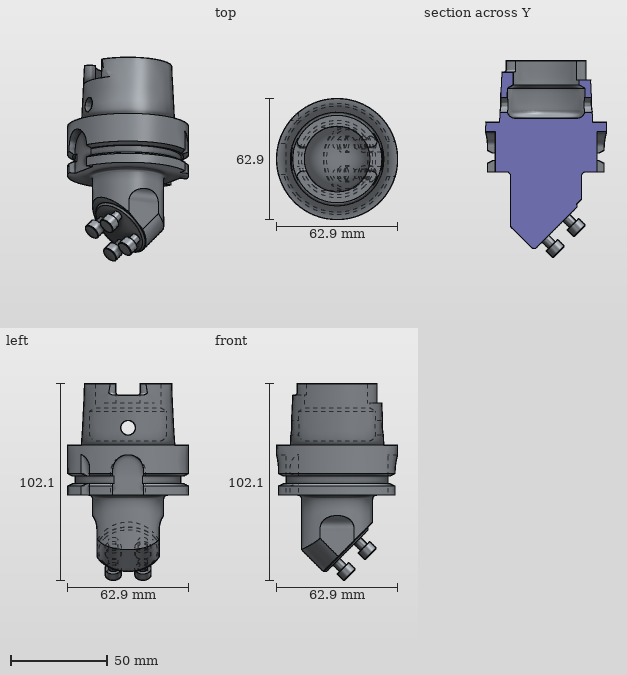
import cadquery as cq
import math


DIAGONAL = math.sqrt(0.5)

TAPER_LENGTH = 31.9
TAPER_BASE_D = 48.6
TAPER_TIP_D = 45.4
CROSS_HOLE_D = 7.5
CROSS_HOLE_Z = 9.0

BORE_D = 34.05
BORE_END_Z = 19.3
UNDERCUT_D = 40.08
UNDERCUT_LEAD_ANGLE = 60.0
BORE_FLOOR_D = 32.0
BORE_FLOOR_Z = 2.1

DRIVE_SLOT_WIDTH = 12.54
DRIVE_SLOT_CORNER_R = 3.0
DRIVE_SLOT_MOUTH_R = 23.0
DRIVE_SLOT_EXIT_LENGTH = 4.0
DEEP_SLOT_DEPTH = 10.0
SHALLOW_SLOT_DEPTH = 6.0
SHALLOW_SLOT_FLOOR_R = 1.5

FLANGE_D = 62.94
FLANGE_HEIGHT = 26.0
GROOVE_D = 55.0
GROOVE_CENTER_Z = -18.0
GROOVE_FLOOR_WIDTH = 3.75
GROOVE_FLARE_D = 57.6
GROOVE_FLARE_HEIGHT = 1.4

KEYWAY_FLOOR_X = 26.5
KEYWAY_TOP_Z = -5.0
NARROW_KEYWAY_WIDTH = 16.0
WIDE_KEYWAY_WIDTH = 18.0
NOTCH_CORNER = 19.9
NOTCH_TOP_Z = -4.0
NOTCH_WIDTH = 16.0

SHANK_D = 37.0
SHANK_FILLET_R = 2.0
SHANK_STOCK_LENGTH = 50.0
FLAT_Y = 16.25
FLAT_TOP_Z = -43.5
FLAT_RUNOUT_R = 12.0

NOSE_TILT = 45.0
NOSE_D = 35.0
NOSE_AXIS_Z = -48.0
NOSE_FACE_DISTANCE = 41.3
SEAT_D = 32.5
SEAT_AXIS_Z = -49.5
SEAT_HEIGHT = 1.2
SEAT_CHAMFER = 1.0

SCREW_D = 5.0
SCREW_AXIS_Z = -49.95
SCREW_SPACING = 15.4
SCREW_GAP = 4.85
SCREW_EMBED = 2.0
SCREW_HEAD_D = 8.5
SCREW_HEAD_LENGTH = 5.0
SCREW_HEAD_CHAMFER = 0.3


def disc(diameter, top_z, bottom_z):
    """Upright cylinder on the Z axis between two heights."""
    return cq.Workplane("XY").workplane(offset=bottom_z).circle(diameter / 2).extrude(top_z - bottom_z)


def revolved(outline):
    """Turn a closed (radius, z) outline about the Z axis."""
    return outline.revolve(360, (0, 0), (0, 1))


def tilted(solid, axis_z):
    """Lean a solid modelled along Z so that its axis crosses the part's Z axis at axis_z."""
    axis_offset = axis_z * math.sin(math.radians(NOSE_TILT))
    return solid.translate((axis_offset, 0, 0)).rotate((0, 0, 0), (0, 1, 0), -NOSE_TILT)


def make_taper_and_flange():
    flange_r = FLANGE_D / 2
    flare_r = GROOVE_FLARE_D / 2
    groove_r = GROOVE_D / 2
    groove_top = GROOVE_CENTER_Z + GROOVE_FLOOR_WIDTH / 2
    groove_bottom = GROOVE_CENTER_Z - GROOVE_FLOOR_WIDTH / 2
    outline = cq.Workplane("XZ").polyline([
        (0, TAPER_LENGTH),
        (TAPER_TIP_D / 2, TAPER_LENGTH),
        (TAPER_BASE_D / 2, 0),
        (flange_r, 0),
        (flange_r, groove_top + GROOVE_FLARE_HEIGHT),
        (flare_r, groove_top),
        (groove_r, groove_top),
        (groove_r, groove_bottom),
        (flare_r, groove_bottom),
        (flange_r, groove_bottom - GROOVE_FLARE_HEIGHT),
        (flange_r, -FLANGE_HEIGHT),
        (0, -FLANGE_HEIGHT),
    ]).close()
    return revolved(outline)


def make_bore():
    bore_r = BORE_D / 2
    undercut_r = UNDERCUT_D / 2
    floor_r = BORE_FLOOR_D / 2
    lead_height = (undercut_r - bore_r) / math.tan(math.radians(UNDERCUT_LEAD_ANGLE))
    round_r = undercut_r - floor_r
    round_mid = (floor_r + round_r * DIAGONAL, BORE_FLOOR_Z + round_r * (1 - DIAGONAL))
    outline = (
        cq.Workplane("XZ")
        .moveTo(0, TAPER_LENGTH)
        .lineTo(bore_r, TAPER_LENGTH)
        .lineTo(bore_r, BORE_END_Z)
        .lineTo(undercut_r, BORE_END_Z - lead_height)
        .lineTo(undercut_r, BORE_FLOOR_Z + round_r)
        .threePointArc(round_mid, (floor_r, BORE_FLOOR_Z))
        .lineTo(0, BORE_FLOOR_Z)
        .close()
    )
    return revolved(outline)


def make_cross_hole():
    """Radial hole through both taper walls along X."""
    hole = cq.Workplane("YZ").center(0, CROSS_HOLE_Z).circle(CROSS_HOLE_D / 2)
    return hole.extrude(TAPER_BASE_D, both=True)


def make_drive_slot(depth):
    """Slot from the taper tip through the +X wall; each mouth corner arc ends in a tangent line."""
    half_width = DRIVE_SLOT_WIDTH / 2
    corner_y = half_width + DRIVE_SLOT_CORNER_R
    corner_distance = DRIVE_SLOT_MOUTH_R - DRIVE_SLOT_CORNER_R
    corner_x = math.sqrt(corner_distance**2 - corner_y**2)
    direction_x = corner_x / corner_distance
    direction_y = corner_y / corner_distance

    arc_mid_x = corner_x + DRIVE_SLOT_CORNER_R * DIAGONAL
    arc_mid_y = corner_y - DRIVE_SLOT_CORNER_R * DIAGONAL
    tangent_x = DRIVE_SLOT_MOUTH_R * direction_x
    tangent_y = DRIVE_SLOT_MOUTH_R * direction_y
    exit_x = tangent_x - DRIVE_SLOT_EXIT_LENGTH * direction_y
    exit_y = tangent_y + DRIVE_SLOT_EXIT_LENGTH * direction_x
    outer_x = exit_x + TAPER_TIP_D / 2

    return (
        cq.Workplane("XY")
        .workplane(offset=TAPER_LENGTH - depth)
        .moveTo(0, -half_width)
        .lineTo(corner_x, -half_width)
        .threePointArc((arc_mid_x, -arc_mid_y), (tangent_x, -tangent_y))
        .lineTo(exit_x, -exit_y)
        .lineTo(outer_x, -exit_y)
        .lineTo(outer_x, exit_y)
        .lineTo(exit_x, exit_y)
        .lineTo(tangent_x, tangent_y)
        .threePointArc((arc_mid_x, arc_mid_y), (corner_x, half_width))
        .lineTo(0, half_width)
        .close()
        .extrude(depth)
    )


def make_shallow_drive_slot():
    """Drive slot on the -X side, with its floor rounded into its walls."""
    slot = make_drive_slot(SHALLOW_SLOT_DEPTH)
    slot = slot.faces("<Z").edges("not(<X or >X)").fillet(SHALLOW_SLOT_FLOOR_R)
    return slot.rotate((0, 0, 0), (0, 0, 1), 180)


def make_keyway(side, width, floor_x, top_z, center_y=0):
    """Round-topped keyway open at the flange underside, on the -X (side = -1) or +X (side = 1) rim."""
    radius = width / 2
    arc_z = top_z - radius
    return (
        cq.Workplane("YZ")
        .workplane(offset=side * floor_x)
        .moveTo(center_y - radius, -FLANGE_HEIGHT)
        .lineTo(center_y - radius, arc_z)
        .threePointArc((center_y, top_z), (center_y + radius, arc_z))
        .lineTo(center_y + radius, -FLANGE_HEIGHT)
        .close()
        .extrude(side * FLANGE_D)
    )


def make_notch():
    """Square-cornered indexing notch on the -X +Y rim."""
    return make_keyway(-1, NOTCH_WIDTH, NOTCH_CORNER, NOTCH_TOP_Z, NOTCH_CORNER + NOTCH_WIDTH / 2)


def make_nose_envelope():
    """U-shaped prism that rounds the lower -X side of the shank and ends at the angled face."""
    radius = NOSE_D / 2
    prism = (
        cq.Workplane("XY")
        .workplane(offset=-NOSE_FACE_DISTANCE)
        .moveTo(FLANGE_D, -radius)
        .lineTo(0, -radius)
        .threePointArc((-radius, 0), (0, radius))
        .lineTo(FLANGE_D, radius)
        .close()
        .extrude(2 * NOSE_FACE_DISTANCE)
    )
    upper = disc(SHANK_D, -FLANGE_HEIGHT, FLAT_TOP_Z)
    angled_face = tilted(
        cq.Workplane("XY")
        .workplane(offset=-NOSE_FACE_DISTANCE)
        .rect(4 * FLANGE_D, 2 * FLANGE_D)
        .extrude(2 * NOSE_FACE_DISTANCE),
        0,
    )
    return tilted(prism, NOSE_AXIS_Z).union(upper.intersect(angled_face))


def make_seat():
    """Chamfered disc standing on the angled face."""
    seat = disc(SEAT_D, -NOSE_FACE_DISTANCE, -NOSE_FACE_DISTANCE - SEAT_HEIGHT)
    return tilted(seat.faces("<Z").edges().chamfer(SEAT_CHAMFER), SEAT_AXIS_Z)


def make_flat_cutter():
    """Material beside the shank on +Y, rounded where the flat runs out at its top."""
    width = 2 * SHANK_D
    block = (
        cq.Workplane("XY")
        .box(width, FLAT_RUNOUT_R, SHANK_STOCK_LENGTH, centered=(True, False, False))
        .translate((0, FLAT_Y, FLAT_TOP_Z - SHANK_STOCK_LENGTH))
    )
    runout = (
        cq.Workplane("YZ")
        .center(FLAT_Y + FLAT_RUNOUT_R, FLAT_TOP_Z)
        .circle(FLAT_RUNOUT_R)
        .extrude(width / 2, both=True)
    )
    return block.union(runout)


def make_shank_fillet():
    """Concave round between the shank and the flange underside."""
    shank_r = SHANK_D / 2
    fillet_bottom = -FLANGE_HEIGHT - SHANK_FILLET_R
    fillet_inset = SHANK_FILLET_R * (1 - DIAGONAL)
    outline = (
        cq.Workplane("XZ")
        .moveTo(0, -FLANGE_HEIGHT)
        .lineTo(shank_r + SHANK_FILLET_R, -FLANGE_HEIGHT)
        .threePointArc((shank_r + fillet_inset, -FLANGE_HEIGHT - fillet_inset), (shank_r, fillet_bottom))
        .lineTo(0, fillet_bottom)
        .close()
    )
    return revolved(outline)


def make_shank():
    shank = disc(SHANK_D, -FLANGE_HEIGHT, -FLANGE_HEIGHT - SHANK_STOCK_LENGTH)
    shank = shank.intersect(make_nose_envelope()).union(make_seat())
    flat_cutter = make_flat_cutter()
    shank = shank.cut(flat_cutter).cut(flat_cutter.mirror("XZ"))
    return shank.union(make_shank_fillet())


def make_screw():
    """Screw along -Z, its shank rooted in the seat."""
    seat_z = -NOSE_FACE_DISTANCE - SEAT_HEIGHT
    head_z = seat_z - SCREW_GAP
    head = disc(SCREW_HEAD_D, head_z, head_z - SCREW_HEAD_LENGTH)
    head = head.faces("<Z").edges().chamfer(SCREW_HEAD_CHAMFER)
    return disc(SCREW_D, seat_z + SCREW_EMBED, head_z).union(head)


def add_screws(part):
    screw = make_screw()
    half_spacing = SCREW_SPACING / 2
    for x in (-half_spacing, half_spacing):
        for y in (-half_spacing, half_spacing):
            part = part.union(tilted(screw.translate((x, y, 0)), SCREW_AXIS_Z))
    return part


result = make_taper_and_flange().cut(make_bore()).cut(make_cross_hole())
result = result.cut(make_drive_slot(DEEP_SLOT_DEPTH)).cut(make_shallow_drive_slot())
result = result.cut(make_keyway(-1, NARROW_KEYWAY_WIDTH, KEYWAY_FLOOR_X, KEYWAY_TOP_Z))
result = result.cut(make_keyway(1, WIDE_KEYWAY_WIDTH, KEYWAY_FLOOR_X, KEYWAY_TOP_Z))
result = result.cut(make_notch())
result = add_screws(result.union(make_shank()))